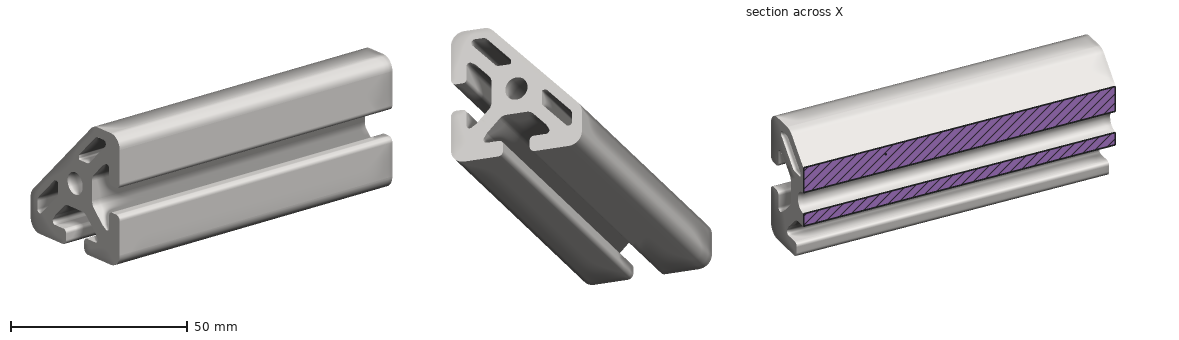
import cadquery as cq
import math

SIDE = 40.0
LENGTH = 100.0
HALF = SIDE / 2
BORE_DIAMETER = 6.8

HALF_OCTAGON_ANGLE = 22.5
BEVEL_OFFSET = HALF * (1 - math.tan(math.radians(HALF_OCTAGON_ANGLE)))
OUTER_RADIUS = 4.0

SLOT_HALF_OPENING = 4.05
SLOT_FLOOR = 7.6
SLOT_HALF_FLOOR = 4.3
SLOT_SHOULDER = 12.35
SLOT_TIP_ANGLE = 32.0
LIP_THICKNESS = 4.75
LIP_INNER_RADIUS = 1.2
LIP_OUTER_RADIUS = 1.6
SLOT_FLOOR_RADIUS = 3.0
SLOT_SHOULDER_RADIUS = 1.0
SLOT_CORNER_RADIUS = 1.0

CHAMBER_BEVEL_OFFSET = 7.5
CHAMBER_SLOT_OFFSET = 1.75
CHAMBER_LEFT = 1.65
CHAMBER_RIGHT = 13.75
CHAMBER_BOTTOM = 7.75
CHAMBER_TOP = 17.0
CHAMBER_BEVEL_END_RADIUS = 2.0
CHAMBER_BEVEL_START_RADIUS = 0.5
CHAMBER_TIP_RADIUS = 1.0
CHAMBER_INNER_RADIUS = 0.5
CHAMBER_SLOT_START_RADIUS = 1.5
CHAMBER_SLOT_END_RADIUS = 1.0

HALF_TURN = 180.0


def extrude_outline(points):
    """Extrude a closed outline of (x, z) points along the full length in Y."""
    return cq.Workplane("XZ").polyline(points).close().extrude(LENGTH / 2, both=True)


def round_edges(body, radius, points):
    """Round the lengthwise edges nearest to the given (x, z) points."""
    edges = cq.Workplane("XY")
    for x, z in points:
        edges = edges.add(body.edges(cq.selectors.NearestToPointSelector((x, 0, z))))
    return body.newObject([body.val().fillet(radius, edges.vals())])


def mirror_across_bevel(body):
    """Swap the two slotted sides by a half turn: (x, z) becomes (-z, -x)."""
    return cq.Workplane(body.val().rotate((0, 0, 0), (1, 0, -1), HALF_TURN))


def make_blank():
    """Bevelled square bar with rounded lengthwise edges."""
    outline = [
        (HALF, HALF),
        (HALF - BEVEL_OFFSET, HALF),
        (-HALF, BEVEL_OFFSET - HALF),
        (-HALF, -HALF),
        (HALF, -HALF),
    ]
    return extrude_outline(outline).edges("|Y").fillet(OUTER_RADIUS)


def make_slot():
    """Slot that opens on +X, with a floor, two-step sloped flanks and overhanging lips."""
    lip_inner = HALF - LIP_THICKNESS
    shoulder_half = SLOT_HALF_FLOOR + SLOT_SHOULDER - SLOT_FLOOR
    tip_slope = math.tan(math.radians(SLOT_TIP_ANGLE))
    slot_half_width = shoulder_half + (lip_inner - SLOT_SHOULDER) * tip_slope
    mouth_clearance = HALF + LIP_OUTER_RADIUS
    flare = SLOT_HALF_OPENING + 2 * LIP_OUTER_RADIUS
    half_outline = [
        (SLOT_FLOOR, SLOT_HALF_FLOOR),
        (SLOT_SHOULDER, shoulder_half),
        (lip_inner, slot_half_width),
        (lip_inner, SLOT_HALF_OPENING),
        (HALF, SLOT_HALF_OPENING),
        (HALF, flare),
        (mouth_clearance, flare),
    ]
    other_half = [(x, -z) for x, z in reversed(half_outline)]
    slot = extrude_outline(half_outline + other_half)
    floor, shoulder_end, corner, lip, mouth = half_outline[:5]
    for radius, point in (
        (SLOT_FLOOR_RADIUS, floor),
        (SLOT_SHOULDER_RADIUS, shoulder_end),
        (SLOT_CORNER_RADIUS, corner),
        (LIP_INNER_RADIUS, lip),
        (LIP_OUTER_RADIUS, mouth),
    ):
        slot = round_edges(slot, radius, [point, (point[0], -point[1])])
    return slot


def make_chamber():
    """Closed hollow beside the bevel, running the full length."""
    outline = [
        (CHAMBER_LEFT, CHAMBER_BOTTOM),
        (CHAMBER_BOTTOM - CHAMBER_SLOT_OFFSET, CHAMBER_BOTTOM),
        (CHAMBER_RIGHT, CHAMBER_RIGHT + CHAMBER_SLOT_OFFSET),
        (CHAMBER_RIGHT, CHAMBER_TOP),
        (CHAMBER_TOP - CHAMBER_BEVEL_OFFSET, CHAMBER_TOP),
        (CHAMBER_LEFT, CHAMBER_LEFT + CHAMBER_BEVEL_OFFSET),
    ]
    chamber = extrude_outline(outline)
    inner, slot_start, slot_end, tip, bevel_end, bevel_start = outline
    for radius, point in (
        (CHAMBER_INNER_RADIUS, inner),
        (CHAMBER_SLOT_START_RADIUS, slot_start),
        (CHAMBER_SLOT_END_RADIUS, slot_end),
        (CHAMBER_TIP_RADIUS, tip),
        (CHAMBER_BEVEL_END_RADIUS, bevel_end),
        (CHAMBER_BEVEL_START_RADIUS, bevel_start),
    ):
        chamber = round_edges(chamber, radius, [point])
    return chamber


def make_bore():
    return cq.Workplane("XZ").circle(BORE_DIAMETER / 2).extrude(LENGTH / 2, both=True)


result = make_blank().cut(make_bore())
for cutter in (make_slot(), make_chamber()):
    result = result.cut(cutter).cut(mirror_across_bevel(cutter))